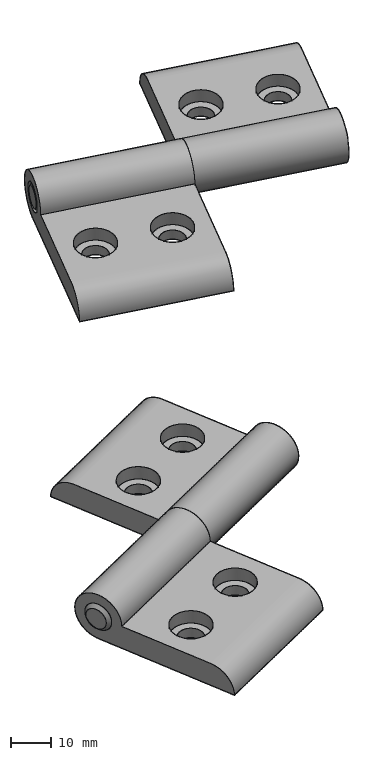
import cadquery as cq
import math

knuckle_diameter = 14.0
knuckle_radius = knuckle_diameter / 2
leaf_length = 40.0
leaf_reach = 40.5
leaf_thickness = 7.05
edge_radius = leaf_thickness

hole_offset = 21.0
hole_spacing = leaf_length / 2
hole_diameter = 7.0
counterbore_diameter = 11.0
counterbore_depth = 4.0

pin_diameter = 8.0
pin_chamfer = 1.0
pin_protrusion = 1.0
pin_length = 2 * leaf_length + pin_protrusion


def axis_workplane():
    """XZ plane at y = 0, centered on the hinge axis."""
    return cq.Workplane("XZ", origin=(0, 0, knuckle_radius))


def make_plate():
    """Flat plate on z = 0 from below the hinge axis toward +X, with its free top edge fully rounded."""
    arc_center_x = leaf_reach - edge_radius
    arc_middle = edge_radius * math.cos(math.radians(45))
    return (
        cq.Workplane("XZ")
        .lineTo(leaf_reach, 0)
        .threePointArc((arc_center_x + arc_middle, arc_middle), (arc_center_x, leaf_thickness))
        .lineTo(0, leaf_thickness)
        .close()
        .extrude(leaf_length)
    )


def make_leaf():
    """Leaf on the +X side, covering -leaf_length <= y <= 0, with its knuckle bored for the pin."""
    knuckle = axis_workplane().circle(knuckle_radius).extrude(leaf_length)
    pin_bore = axis_workplane().circle(pin_diameter / 2).extrude(leaf_length)
    leaf = make_plate().union(knuckle).cut(pin_bore)

    top_face = cq.Workplane("XY", origin=(hole_offset, -leaf_length / 2, leaf_thickness))
    return (
        leaf.copyWorkplane(top_face)
        .rarray(0.8, hole_spacing, 1, 2)
        .cboreHole(hole_diameter, counterbore_diameter, counterbore_depth)
    )


def make_pin():
    """Round pin through both knuckles, chamfered at both ends."""
    return (
        axis_workplane()
        .workplane(offset=leaf_length)
        .circle(pin_diameter / 2)
        .extrude(-pin_length)
        .faces("<Y or >Y")
        .chamfer(pin_chamfer)
    )


leaves = [make_leaf().rotate((0, 0, 0), (0, 0, 1), turn) for turn in (0, 180)]
pin = make_pin()

result = cq.Compound.makeCompound([*[leaf.val() for leaf in leaves], pin.val()])